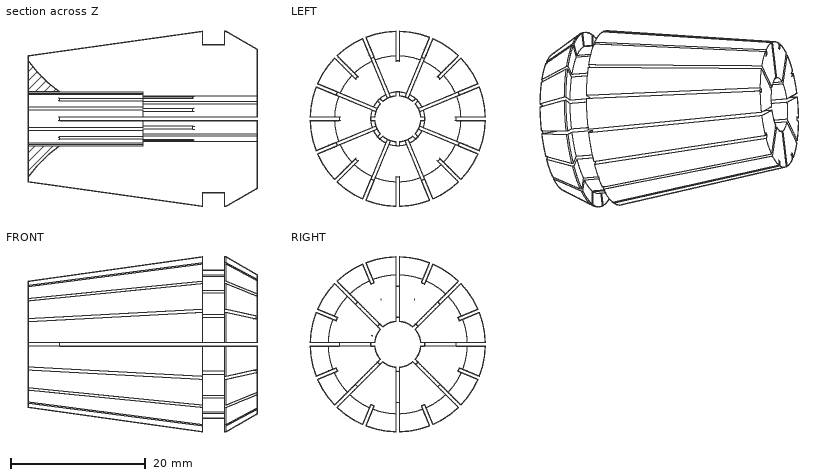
import cadquery as cq
import math

overall_length = 34.0
max_radius = 13.0
taper_length = 25.9
taper_half_angle = 8.0
small_end_radius = max_radius - taper_length * math.tan(math.radians(taper_half_angle))

neck_radius = 11.0
neck_end = 29.1
head_land = 0.25
head_half_angle = 30.0
head_cone_start = neck_end + head_land
head_end_radius = max_radius - (overall_length - head_cone_start) * math.tan(math.radians(head_half_angle))

grip_bore_radius = 3.4
relief_bore_radius = 4.0
relief_depth = overall_length / 2

slots_per_set = 8
slot_pitch = 360.0 / slots_per_set
slot_width = 0.5
saw_start_radius = 3.0
small_end_saw_radius = 20.0
small_end_runout_radius = 8.65
small_end_web_length = 6.23
head_end_saw_radius = 40.0
head_end_runout_radius = 9.8
head_end_web_length = 10.51
cut_clearance = 1.0
cut_radius = max_radius + cut_clearance


def make_body():
    profile = [
        (0, 0),
        (0, small_end_radius),
        (taper_length, max_radius),
        (taper_length, neck_radius),
        (neck_end, neck_radius),
        (neck_end, max_radius),
        (head_cone_start, max_radius),
        (overall_length, head_end_radius),
        (overall_length, 0),
    ]
    return cq.Workplane("XY").polyline(profile).close().revolve(360, (0, 0, 0), (1, 0, 0))


def bore_cutter(radius, length):
    return cq.Workplane("YZ").circle(radius).extrude(length)


def slot_blade(web_end, open_end, web_length, runout_radius, saw_radius):
    """Slot along the +Z half-plane, open at one end and arcing out through the other."""
    toward_open = 1 if open_end > web_end else -1
    web_inside = web_end + toward_open * web_length
    arc_radius = toward_open * saw_radius
    return (
        cq.Workplane("XZ")
        .moveTo(web_inside, saw_start_radius)
        .radiusArc((web_end, runout_radius), arc_radius)
        .lineTo(web_end, cut_radius)
        .lineTo(open_end, cut_radius)
        .lineTo(open_end, 0)
        .lineTo(web_inside, 0)
        .close()
        .extrude(slot_width / 2, both=True)
    )


def cut_slot_set(body, blade, first_angle):
    for index in range(slots_per_set):
        angle = first_angle + index * slot_pitch
        body = body.cut(blade.rotate((0, 0, 0), (1, 0, 0), angle))
    return body


result = make_body()
result = result.cut(bore_cutter(grip_bore_radius, overall_length))
result = result.cut(bore_cutter(relief_bore_radius, relief_depth))

head_open_blade = slot_blade(
    web_end=0,
    open_end=overall_length,
    web_length=small_end_web_length,
    runout_radius=small_end_runout_radius,
    saw_radius=small_end_saw_radius,
)
result = cut_slot_set(result, head_open_blade, 0)

small_end_open_blade = slot_blade(
    web_end=overall_length,
    open_end=0,
    web_length=head_end_web_length,
    runout_radius=head_end_runout_radius,
    saw_radius=head_end_saw_radius,
)
result = cut_slot_set(result, small_end_open_blade, slot_pitch / 2)